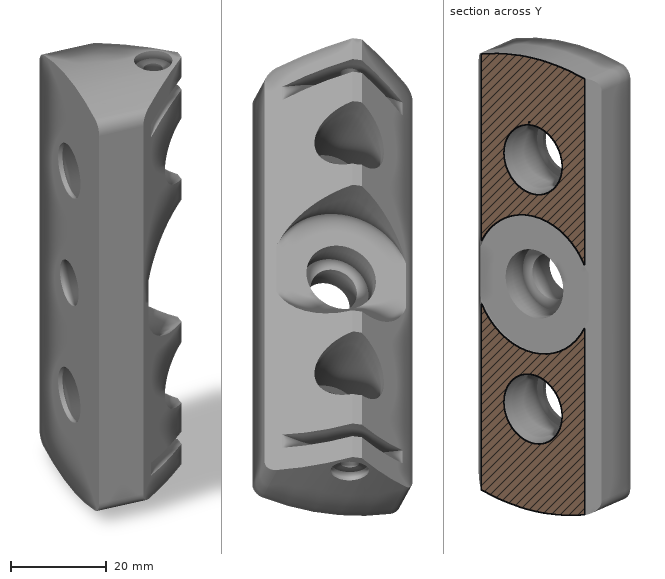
import cadquery as cq
import math

length = 100.0
width = 32.0
depth = 25.0
end_radius = length / 2
corner_fillet = 3.0
eave_depth = 10.0
roof_rise = depth - eave_depth
ridge_half_width = width / 2 - roof_rise

end_wall = 5.0
slot_gap = 3.0
slot_depth = 12.0

outer_bore_height = 27.5
outer_lip = 1.0
middle_floor = 12.0
middle_seat = 6.0
bores = [
    (outer_bore_height, 12.0, 15.0, outer_lip),
    (0.0, 10.0, 30.0, middle_floor),
    (0.0, 10.0, 15.0, middle_seat),
    (-outer_bore_height, 12.0, 15.0, outer_lip),
]

screw_y = 19.0
screw_diameter = 4.0
screw_head_diameter = 8.0
screw_head_depth = 2.0


def cylinder_y(diameter, height, start, end):
    """Cylinder parallel to Y, centred on X = 0, spanning start to end."""
    axis = cq.Vector(0, 1, 0)
    base = cq.Vector(0, start, height)
    return cq.Workplane(cq.Solid.makeCylinder(diameter / 2, end - start, base, axis))


def cylinder_z(diameter, start, end):
    """Cylinder parallel to Z on the screw axis, spanning start to end."""
    return (
        cq.Workplane("XY", origin=(0, screw_y, start))
        .circle(diameter / 2)
        .extrude(end - start)
    )


def make_body():
    side = width / 2
    shoulder = math.sqrt(end_radius**2 - side**2)
    outline = (
        cq.Workplane("XZ")
        .moveTo(side, -shoulder)
        .lineTo(side, shoulder)
        .threePointArc((0, end_radius), (-side, shoulder))
        .lineTo(-side, -shoulder)
        .threePointArc((0, -end_radius), (side, -shoulder))
        .close()
        .extrude(-depth)
        .edges("|Y")
        .fillet(corner_fillet)
    )
    roof = (
        cq.Workplane("XY", origin=(0, 0, -length / 2))
        .polyline([
            (-side, 0),
            (side, 0),
            (side, eave_depth),
            (ridge_half_width, depth),
            (-ridge_half_width, depth),
            (-side, eave_depth),
        ])
        .close()
        .extrude(length)
    )
    return outline.intersect(roof)


def make_slots():
    """Ring whose top and bottom stretches form the two curved slots."""
    outer_radius = end_radius - end_wall
    inner_radius = outer_radius - slot_gap
    slot_floor = depth - slot_depth
    ring = cylinder_y(2 * outer_radius, 0, slot_floor, depth)
    return ring.cut(cylinder_y(2 * inner_radius, 0, slot_floor, depth))


def cut_bores(body):
    for height, hole_diameter, pocket_diameter, pocket_floor in bores:
        body = body.cut(cylinder_y(hole_diameter, height, 0, depth))
        body = body.cut(cylinder_y(pocket_diameter, height, pocket_floor, depth))
    return body


def make_top_screw_cut():
    hole_end = end_radius - end_wall - slot_gap / 2
    hole = cylinder_z(screw_diameter, hole_end, end_radius)
    head = cylinder_z(screw_head_diameter, end_radius - screw_head_depth, end_radius)
    return hole.union(head)


result = cut_bores(make_body().cut(make_slots()))
top_screw_cut = make_top_screw_cut()
result = result.cut(top_screw_cut).cut(top_screw_cut.mirror("XY"))